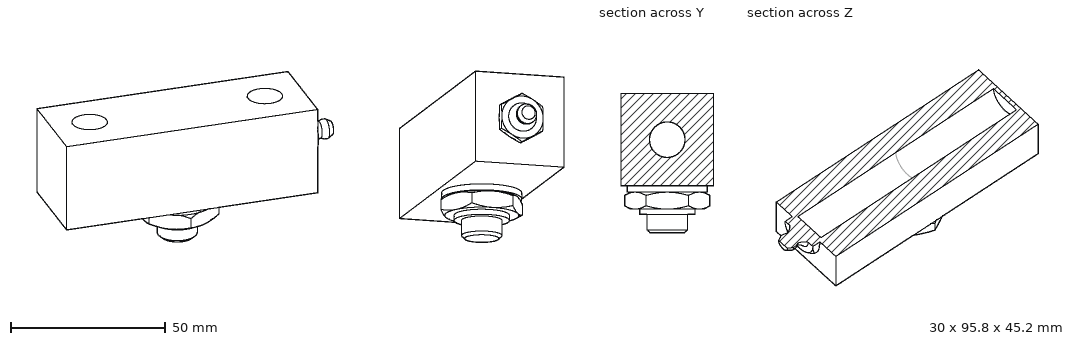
import cadquery as cq
import math

block_side = 30.0
block_length = 86.0

port_diameter = 11.45
port_spacing = 60.0
bore_diameter = port_diameter
bore_length = port_spacing + 2 * port_diameter

flange_diameter = 26.0
flange_height = 2.0
nut_across_flats = 24.0
nut_height = 5.5
collar_diameter = 18.0
collar_height = 1.7
stud_diameter = 13.16
stud_height = 6.0
stud_chamfer = 1.0

nipple_nut_across_flats = 14.0
nipple_nut_height = 3.0
nipple_length = 9.8
nipple_base_diameter = 9.4
nipple_neck_diameter = 5.5
nipple_flare_sag = 0.3
nipple_ball_diameter = 6.6
nipple_tip_diameter = 4.5
nipple_cone_height = 1.75
nipple_neck_to_tip = 4.1

hexagon_sides = 6
corner_angle = math.radians(30)


def hexagon_nut(across_flats, height):
    """Hexagon standing on Z = 0 with corners on the X axis, both ends corner-chamfered."""
    face_radius = across_flats / 2
    corner_radius = face_radius / math.cos(math.pi / hexagon_sides)
    chamfer_height = (corner_radius - face_radius) * math.tan(corner_angle)
    prism = cq.Workplane("XY").polygon(hexagon_sides, 2 * corner_radius).extrude(height)
    envelope = (
        cq.Workplane("XZ")
        .moveTo(0, 0)
        .lineTo(face_radius, 0)
        .lineTo(corner_radius, chamfer_height)
        .lineTo(corner_radius, height - chamfer_height)
        .lineTo(face_radius, height)
        .lineTo(0, height)
        .close()
        .revolve(360, (0, 0, 0), (0, 1, 0))
    )
    return prism.intersect(envelope)


def drilled_block():
    """Square block with two ports in its top that open into the closed bore."""
    block = cq.Workplane("XY").box(block_side, block_length, block_side, centered=(True, True, False))
    ports = (
        cq.Workplane("XY", origin=(0, 0, block_side / 2))
        .pushPoints([(0, -port_spacing / 2), (0, port_spacing / 2)])
        .circle(port_diameter / 2)
        .extrude(block_side / 2)
    )
    bore = (
        cq.Workplane("XZ", origin=(0, 0, block_side / 2))
        .circle(bore_diameter / 2)
        .extrude(bore_length / 2, both=True)
    )
    return block.cut(ports).cut(bore)


def screw_fitting():
    """Flange, hexagon, collar and chamfered stud hanging below the block."""
    nut_bottom = -flange_height - nut_height
    collar_bottom = nut_bottom - collar_height
    stud_bottom = collar_bottom - stud_height
    flange = cq.Workplane("XY").circle(flange_diameter / 2).extrude(-flange_height)
    nut = hexagon_nut(nut_across_flats, nut_height).translate((0, 0, nut_bottom))
    shank = (
        cq.Workplane("XZ")
        .moveTo(0, nut_bottom)
        .lineTo(collar_diameter / 2, nut_bottom)
        .lineTo(collar_diameter / 2, collar_bottom)
        .lineTo(stud_diameter / 2, collar_bottom)
        .lineTo(stud_diameter / 2, stud_bottom + stud_chamfer)
        .lineTo(stud_diameter / 2 - stud_chamfer, stud_bottom)
        .lineTo(0, stud_bottom)
        .close()
        .revolve(360, (0, 0, 0), (0, 1, 0))
    )
    return flange.union(nut).union(shank)


def grease_nipple():
    """Nipple built upright on Z = 0, then laid along +Y on the end of the block."""
    ball_radius = nipple_ball_diameter / 2
    base_radius = nipple_base_diameter / 2
    neck_radius = nipple_neck_diameter / 2
    neck_height = nipple_length - nipple_neck_to_tip
    cone_start = nipple_length - nipple_cone_height
    ball_centre = neck_height + math.sqrt(ball_radius**2 - neck_radius**2)
    cone_start_radius = math.sqrt(ball_radius**2 - (cone_start - ball_centre) ** 2)
    head = (
        cq.Workplane("XZ")
        .moveTo(0, nipple_nut_height)
        .lineTo(base_radius, nipple_nut_height)
        .sagittaArc((neck_radius, neck_height), nipple_flare_sag)
        .threePointArc((ball_radius, ball_centre), (cone_start_radius, cone_start))
        .lineTo(nipple_tip_diameter / 2, nipple_length)
        .lineTo(0, nipple_length)
        .close()
        .revolve(360, (0, 0, 0), (0, 1, 0))
    )
    nut = hexagon_nut(nipple_nut_across_flats, nipple_nut_height)
    upright = nut.union(head).rotate((0, 0, 0), (0, 0, 1), 90)
    laid_down = upright.rotate((0, 0, 0), (1, 0, 0), -90)
    return laid_down.translate((0, block_length / 2, block_side / 2))


result = drilled_block().union(screw_fitting()).union(grease_nipple())